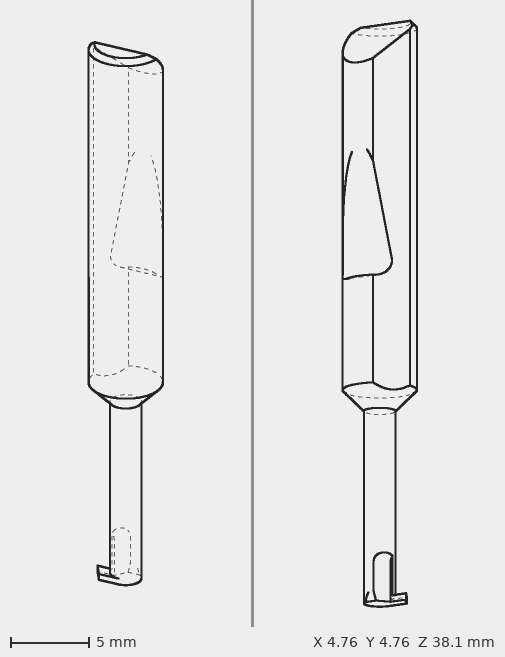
import cadquery as cq
import math

total_length = 38.1
shank_radius = 2.38
shank_bottom = 14.05
top_chamfer = 0.4
neck_radius = 1.01
neck_bottom = 0.1
cone_bottom = shank_bottom - (shank_radius - neck_radius)

flat_direction = 145.5
shank_flat_distance = 2.02
neck_flat_distance = 0.72
neck_flat_top = 2.65
neck_flat_runout_radius = 0.72
heel_relief_depth = 0.15
heel_relief_height = 0.65

bevel_end_y = -0.65
notch_floor_y = 1.1
notch_top = 29.7
notch_deepest = 22.17
notch_radius = 1.05

tip_reach = 2.05
tip_front_corner = 1.4
tip_height = 0.42
rake_face_y = 0.05
nose_width = 0.15

cut_margin = 2 * shank_radius


def make_body():
    """Shank, cone and neck as one turned profile."""
    return (
        cq.Workplane("XZ")
        .moveTo(0, neck_bottom)
        .lineTo(neck_radius, neck_bottom)
        .lineTo(neck_radius, cone_bottom)
        .lineTo(shank_radius, shank_bottom)
        .lineTo(shank_radius, total_length - top_chamfer)
        .lineTo(shank_radius - top_chamfer, total_length)
        .lineTo(0, total_length)
        .close()
        .revolve(360, (0, 0), (0, 1))
    )


def extrude_across(profile):
    """Extrude a YZ profile through the whole width along X."""
    return profile.extrude(cut_margin, both=True)


def make_shank_flat():
    """Cutter for the flat along the shank, running out into the cone."""
    return (
        cq.Workplane("XY", origin=(0, 0, cone_bottom))
        .center(shank_flat_distance + cut_margin / 2, 0)
        .rect(cut_margin, 2 * cut_margin)
        .extrude(total_length)
        .rotate((0, 0, 0), (0, 0, 1), flat_direction)
    )


def make_end_bevel():
    """Cutter for the 45 degree slope across the shank end."""
    return extrude_across(
        cq.Workplane("YZ")
        .moveTo(bevel_end_y, total_length)
        .lineTo(bevel_end_y + cut_margin, total_length - cut_margin)
        .lineTo(bevel_end_y + cut_margin, total_length)
        .close()
    )


def make_notch():
    """Cutter for the clamping notch: a long ramp ending in a rounded shoulder."""
    arc_center_y = notch_floor_y + notch_radius
    notch_bottom = notch_deepest - notch_radius
    arc_offset = notch_radius * math.sqrt(0.5)
    return extrude_across(
        cq.Workplane("YZ")
        .moveTo(shank_radius, notch_top)
        .lineTo(notch_floor_y, notch_deepest)
        .threePointArc(
            (arc_center_y - arc_offset, notch_deepest - arc_offset),
            (arc_center_y, notch_bottom),
        )
        .lineTo(cut_margin, notch_bottom)
        .lineTo(cut_margin, notch_top)
        .close()
    )


def make_neck_flat():
    """Cutter for the chip flat on the neck, with a rounded upper end, behind the rake face."""
    arc_center = neck_flat_distance + neck_flat_runout_radius
    arc_offset = neck_flat_runout_radius * math.sqrt(0.5)
    runout_top = neck_flat_top + neck_flat_runout_radius
    flat = (
        cq.Workplane("XZ")
        .moveTo(neck_flat_distance, 0)
        .lineTo(neck_flat_distance, neck_flat_top)
        .threePointArc((arc_center - arc_offset, neck_flat_top + arc_offset), (arc_center, runout_top))
        .lineTo(cut_margin, runout_top)
        .lineTo(cut_margin, 0)
        .close()
        .extrude(cut_margin, both=True)
        .rotate((0, 0, 0), (0, 0, 1), flat_direction)
    )
    behind_rake = (
        cq.Workplane("XY", origin=(0, rake_face_y, 0))
        .rect(2 * cut_margin, cut_margin)
        .extrude(cut_margin)
        .translate((0, cut_margin / 2, 0))
    )
    return flat.intersect(behind_rake)


def make_heel_relief():
    """Cutter for the small bevel at the back of the neck's lower end."""
    return extrude_across(
        cq.Workplane("YZ")
        .moveTo(neck_radius - heel_relief_depth, neck_bottom)
        .lineTo(neck_radius, neck_bottom + heel_relief_height)
        .lineTo(cut_margin, neck_bottom + heel_relief_height)
        .lineTo(cut_margin, neck_bottom)
        .close()
    )


def make_tip():
    """Hooked tip whose side is relieved behind the cutting edge."""
    return (
        cq.Workplane("XY", origin=(0, 0, neck_bottom))
        .moveTo(-tip_reach, rake_face_y)
        .lineTo(-tip_front_corner, -neck_radius)
        .lineTo(0, -neck_radius)
        .lineTo(0, rake_face_y)
        .close()
        .extrude(tip_height)
    )


def make_nose():
    """Small pointed nose that drops below the tip at its outer corner."""
    return (
        cq.Workplane("XZ", origin=(0, rake_face_y, 0))
        .moveTo(-tip_reach, 0)
        .lineTo(-tip_reach, neck_bottom + tip_height)
        .lineTo(-tip_reach + nose_width, neck_bottom + tip_height)
        .lineTo(-tip_reach + nose_width, neck_bottom)
        .close()
        .extrude(nose_width)
        .intersect(make_tip().translate((0, 0, -neck_bottom)))
    )


body = make_body()
cutters = (
    make_shank_flat(),
    make_end_bevel(),
    make_notch(),
    make_neck_flat(),
    make_heel_relief(),
)
for cutter in cutters:
    body = body.cut(cutter)
result = body.union(make_tip()).union(make_nose())